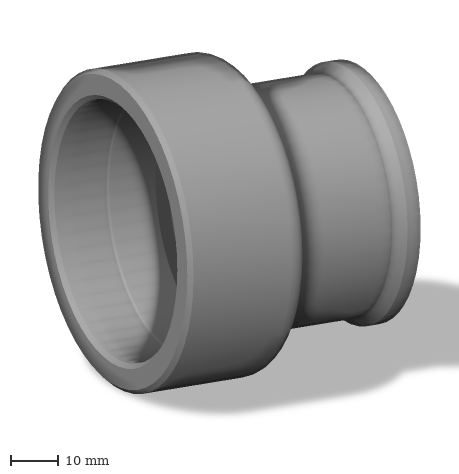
import cadquery as cq

total_length = 59.0

socket_diameter = 70.0
spigot_diameter = 52.9
flange_diameter = 57.0

shoulder_y = 28.8
shoulder_radius = 4.0
neck_fillet_radius = shoulder_radius
rim_chamfer = 1.0

flange_thickness = 3.15
flange_cone_length = 2.65

mouth_diameter = 57.0
seat_diameter = 56.6
through_diameter = 44.5
mouth_depth = 13.45
step_cone_length = 0.55
socket_depth = 25.2

socket_r = socket_diameter / 2
spigot_r = spigot_diameter / 2
flange_r = flange_diameter / 2
mouth_r = mouth_diameter / 2
seat_r = seat_diameter / 2
through_r = through_diameter / 2
flange_front_y = total_length - flange_thickness
flange_cone_y = flange_front_y - flange_cone_length


def revolve_about_y(profile):
    """Close an XY profile and turn it a full circle about the Y axis."""
    return profile.close().revolve(360, (0, 0, 0), (0, 1, 0))


def outer_body():
    """Solid outer shape with a chamfered rim, rounded shoulder, filleted neck and end flange."""
    return revolve_about_y(
        cq.Workplane("XY")
        .lineTo(socket_r - rim_chamfer, 0)
        .lineTo(socket_r, rim_chamfer)
        .lineTo(socket_r, shoulder_y - shoulder_radius)
        .radiusArc((socket_r - shoulder_radius, shoulder_y), -shoulder_radius)
        .lineTo(spigot_r + neck_fillet_radius, shoulder_y)
        .radiusArc((spigot_r, shoulder_y + neck_fillet_radius), neck_fillet_radius)
        .lineTo(spigot_r, flange_cone_y)
        .lineTo(flange_r, flange_front_y)
        .lineTo(flange_r, total_length)
        .lineTo(0, total_length)
    )


def stepped_bore():
    """Chamfered mouth, slightly narrower seat behind a short cone, then the through bore."""
    return revolve_about_y(
        cq.Workplane("XY")
        .lineTo(mouth_r + rim_chamfer, 0)
        .lineTo(mouth_r, rim_chamfer)
        .lineTo(mouth_r, mouth_depth)
        .lineTo(seat_r, mouth_depth + step_cone_length)
        .lineTo(seat_r, socket_depth)
        .lineTo(through_r, socket_depth)
        .lineTo(through_r, total_length)
        .lineTo(0, total_length)
    )


result = outer_body().cut(stepped_bore())